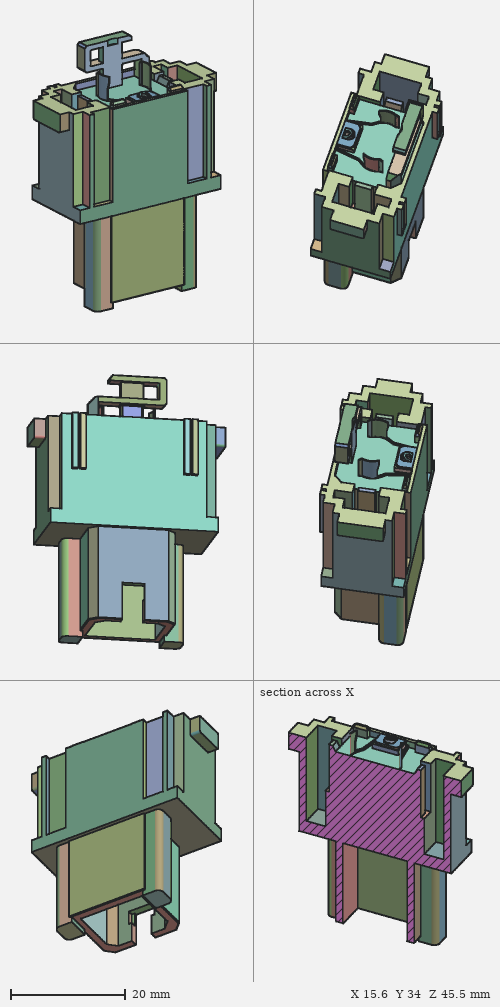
import cadquery as cq

HOUSING_X = 14.7
HOUSING_Y = 30.0
HOUSING_H = 20.0
FLANGE_H = 2.6
CORNER_NOTCH = 2.05
TOP_TAB_REACH = 2.0
TOP_TAB_H = 3.5
TOP_TAB_ROUND = 0.4
FRONT_TAB_X = 8.2
BACK_TAB_X = 6.2
RIB_X = 0.9
RIB_Y = 1.0
RIB_H = 10.0
RIB_INNER_Y = 9.3
RIB_OUTER_Y = 10.7
SIDE_RECESS_X = 1.03
SIDE_RECESS_Y = (8.0, 12.0)

POCKET_Y = (9.77, 13.47)
POCKET_WIDE_X = (-3.8, 3.88)
POCKET_NARROW_X = (-5.85, -3.8)
POCKET_NARROW_END_Y = 11.42
WINDOW_X = (-2.7, 1.96)
WINDOW_FLOOR = 10.0

INSERT_X = (-6.53, 6.62)
INSERT_HALF_Y = 7.77
INSERT_CORNER = 1.5
INSERT_TOP = 18.75
INSERT_BOTTOM = -16.7
INSERT_EDGE = 0.15
INSERT_WALL = 1.5
SLOT_Y = 4.0
SLOT_TOP = -10.0
SLOT_RELIEF_WALL = 0.5
SLOT_RELIEF_Y = 5.24
SLOT_RELIEF_BOTTOM = -12.7
LATCH_X = (-1.87, 1.14)
LATCH_TOP = 19.85
LATCH_Y = (8.3, 9.07)

RAIL_X = (2.05, 6.42)
RAIL_Y = (7.3, 10.9)
RAIL_BOTTOM = -17.8
RAIL_ROUND = 1.05

HOOK_TOP = 27.7
HOOK_X = (INSERT_X[0], -4.2)
HOOK_SHEET = 1.0
HOOK_LOW_BAR_TOP = 23.67
HOOK_BEND_Y = -5.97
HOOK_BEND_SHEET = 1.23
HOOK_TIP_Y = 4.08
HOOK_LEG_Y = 6.2
HOOK_LEG_BEVEL = 1.0
HOOK_BEVEL = 0.42
HOOK_INNER_ROUND = 0.25
HOOK_NOTCH_DEPTH = 0.32
HOOK_NOTCH_HALF_Y = 1.1
POST_X = (-5.65, HOOK_X[1])
POST_Y = 4.0
POST_BEVEL = 0.3
POST_COLLAR = 0.2
POST_COLLAR_BEVEL = 0.15

SPRING_SHEET = 0.2
SPRING_TIP = (-2.57, 4.6)
SPRING_CURVE = [(-1.9, 4.6), (-0.5, 4.87), (1.1, 4.4)]
SPRING_KNEE = (2.17, 3.65)
SPRING_ROOT = (INSERT_X[1], 2.9)
SPRING_ROOT_X = 0.27
SPRING_TOP = 23.3
SPRING_ARM_H = 0.4
BLADE_FOOT_X = 0.79
BLADE_HEAD_X = 1.06
BLADE_NECK_Z = 20.8
BLADE_HEAD_Z = 22.2
BLADE_BEVEL = 0.5
CLIP_X = (5.75, 6.67)
CLIP_Y = (4.7, 7.49)
CLIP_TOP = 20.93
CLIP_BEVEL_H = 0.56
CLIP_BEVEL = 0.3
TERMINAL_X = 3.42
TERMINAL_HALF_Y = 2.55
TERMINAL_TOP = 20.1
TERMINAL_PLATE_H = 0.4
TERMINAL_STEP_X = 0.22
TERMINAL_STEP_Y = 0.1
TERMINAL_ROUND = 0.9
TERMINAL_FLAT_X = 6.1
HOLE_X = 5.16
HOLE_R = 1.05
HOLE_DEPTH = 1.0
LUG_TILT = 22
LUG_HINGE_Z = 20.03
LUG_LENGTH = 1.65
LUG_R = 1.0
LUG_BORE_R = 0.5
LUG_SHEET = 0.6
LUG_ROOT = 0.4

SIDES = (1, -1)


def box(x, y, z):
    """Axis-aligned box given by its (start, end) range along each axis."""
    corner = (min(x), min(y), min(z))
    size = (abs(x[1] - x[0]), abs(y[1] - y[0]), abs(z[1] - z[0]))
    return cq.Workplane("XY").box(*size, centered=False).translate(corner)


def on_side(side, y_range):
    """The Y range moved to the +Y (side = 1) or -Y (side = -1) half."""
    return (side * y_range[0], side * y_range[1])


def insert_column(z_bottom, z_top, inset=0.0):
    """Column of the insert's plan shape: a rectangle with two bevelled -X corners."""
    x = (INSERT_X[0] + inset, INSERT_X[1] - inset)
    half_y = INSERT_HALF_Y - inset
    column = box(x, (-half_y, half_y), (z_bottom, z_top))
    return column.edges("|Z and <X").chamfer(INSERT_CORNER)


def top_tab(side, width):
    y = on_side(side, (HOUSING_Y / 2 - CORNER_NOTCH, HOUSING_Y / 2 + TOP_TAB_REACH))
    tab = box((-width / 2, width / 2), y, (HOUSING_H - TOP_TAB_H, HOUSING_H))
    return tab.edges("|Y and <Z").fillet(TOP_TAB_ROUND)


def make_housing():
    half_x = HOUSING_X / 2
    half_y = HOUSING_Y / 2
    upper = (FLANGE_H, HOUSING_H)
    body = box((-half_x, half_x), (-half_y, half_y), (0, HOUSING_H))
    for side in SIDES:
        notch_y = on_side(side, (half_y - CORNER_NOTCH, half_y))
        body = body.cut(box((-half_x, -half_x + CORNER_NOTCH), notch_y, upper))
        body = body.cut(box((half_x - CORNER_NOTCH, half_x), notch_y, upper))
        body = body.cut(box((half_x - SIDE_RECESS_X, half_x), on_side(side, SIDE_RECESS_Y), upper))
        for rib_y in (RIB_INNER_Y, RIB_OUTER_Y):
            y = on_side(side, (rib_y - RIB_Y / 2, rib_y + RIB_Y / 2))
            body = body.union(box((-half_x - RIB_X, -half_x), y, (HOUSING_H - RIB_H, HOUSING_H)))
    body = body.union(top_tab(1, BACK_TAB_X)).union(top_tab(-1, FRONT_TAB_X))
    body = body.cut(insert_column(INSERT_TOP, HOUSING_H))
    for side in SIDES:
        narrow_y = (POCKET_Y[0], POCKET_NARROW_END_Y)
        window_y = (INSERT_HALF_Y, POCKET_Y[0])
        body = body.cut(box(POCKET_WIDE_X, on_side(side, POCKET_Y), upper))
        body = body.cut(box(POCKET_NARROW_X, on_side(side, narrow_y), upper))
        body = body.cut(box(WINDOW_X, on_side(side, window_y), (WINDOW_FLOOR, HOUSING_H)))
    return body


def make_latch(side):
    """Upright tongue in the window, with a ramp from its flat top to the insert."""
    profile = [
        (side * INSERT_HALF_Y, WINDOW_FLOOR),
        (side * LATCH_Y[1], WINDOW_FLOOR),
        (side * LATCH_Y[1], LATCH_TOP),
        (side * LATCH_Y[0], LATCH_TOP),
        (side * INSERT_HALF_Y, INSERT_TOP),
    ]
    latch = cq.Workplane("YZ").polyline(profile).close().extrude(LATCH_X[1] - LATCH_X[0])
    return latch.translate((LATCH_X[0], 0, 0))


def make_rail(side):
    rail = box(RAIL_X, on_side(side, RAIL_Y), (RAIL_BOTTOM, 0))
    outer_edges = "|Z and >Y" if side > 0 else "|Z and <Y"
    return rail.edges(outer_edges).fillet(RAIL_ROUND)


def make_insert():
    insert = insert_column(INSERT_BOTTOM, INSERT_TOP).faces("<Z").edges().chamfer(INSERT_EDGE)
    for side in SIDES:
        insert = insert.union(make_latch(side)).union(make_rail(side))
    insert = insert.cut(insert_column(RAIL_BOTTOM, 0, INSERT_WALL))
    wall_x = (INSERT_X[0], INSERT_X[0] + INSERT_WALL)
    relief_x = (INSERT_X[0] + SLOT_RELIEF_WALL, wall_x[1])
    relief_y = (-SLOT_RELIEF_Y / 2, SLOT_RELIEF_Y / 2)
    insert = insert.cut(box(wall_x, (-SLOT_Y / 2, SLOT_Y / 2), (INSERT_BOTTOM, SLOT_TOP)))
    return insert.cut(box(relief_x, relief_y, (SLOT_RELIEF_BOTTOM, SLOT_TOP)))


def make_hook():
    """Sheet strip: a leg rising from the insert, a lower bar, a bend and an upper bar."""
    low_bar = (HOOK_LOW_BAR_TOP - HOOK_SHEET, HOOK_LOW_BAR_TOP)
    top_bar = (HOOK_TOP - HOOK_SHEET, HOOK_TOP)
    bend_inner_y = HOOK_BEND_Y + HOOK_BEND_SHEET

    loop = box(HOOK_X, (HOOK_BEND_Y, HOOK_TIP_Y), (low_bar[0], HOOK_TOP))
    loop = loop.edges("|X and <Y").chamfer(HOOK_BEVEL)
    loop = loop.edges("|X and >Y and >Z").chamfer(HOOK_BEVEL)
    gap = box(HOOK_X, (bend_inner_y, INSERT_HALF_Y), (low_bar[1], top_bar[0]))
    loop = loop.cut(gap.edges("|X and <Y").fillet(HOOK_INNER_ROUND))

    leg = box(HOOK_X, (bend_inner_y, INSERT_HALF_Y), (INSERT_TOP, low_bar[1]))
    leg = leg.edges("|X and >Y and >Z").chamfer(HOOK_LEG_BEVEL)
    leg = leg.cut(box(HOOK_X, (bend_inner_y, HOOK_LEG_Y), (INSERT_TOP, low_bar[0])))
    leg = leg.intersect(insert_column(INSERT_TOP, HOOK_TOP))

    notch_r = (HOOK_NOTCH_HALF_Y ** 2 + HOOK_NOTCH_DEPTH ** 2) / (2 * HOOK_NOTCH_DEPTH)
    notch_x = HOOK_X[1] - HOOK_NOTCH_DEPTH + notch_r
    notch = cq.Workplane("XY", origin=(notch_x, 0, top_bar[0])).circle(notch_r).extrude(HOOK_SHEET)

    post_y = (-POST_Y / 2, POST_Y / 2)
    low_post = box(POST_X, post_y, (INSERT_TOP, low_bar[0])).edges("|Z and <X").chamfer(POST_BEVEL)
    collar_y = (post_y[0] - POST_COLLAR, post_y[1] + POST_COLLAR)
    collar_z = (low_bar[0] - POST_COLLAR, low_bar[0])
    collar = box((POST_X[0] - POST_COLLAR, POST_X[1]), collar_y, collar_z)
    collar = collar.faces("<Z").edges("<X or <Y or >Y").chamfer(POST_COLLAR_BEVEL)
    high_post = box(POST_X, post_y, (low_bar[1], top_bar[0]))
    return loop.cut(notch).union(leg).union(low_post).union(collar).union(high_post)


def make_spring():
    """Contact spring on the +Y side: a tall curved blade with a low arm to the wall."""
    half = SPRING_SHEET / 2
    start, crown, end = SPRING_CURVE

    def outer(point):
        return (point[0], point[1] + half)

    def inner(point):
        return (point[0], point[1] - half)

    strip = (
        cq.Workplane("XY", origin=(0, 0, INSERT_TOP))
        .moveTo(*outer(SPRING_TIP))
        .lineTo(*outer(start))
        .threePointArc(outer(crown), outer(end))
        .lineTo(*outer(SPRING_KNEE))
        .lineTo(*outer(SPRING_ROOT))
        .lineTo(*inner(SPRING_ROOT))
        .lineTo(*inner(SPRING_KNEE))
        .lineTo(*inner(end))
        .threePointArc(inner(crown), inner(start))
        .lineTo(*inner(SPRING_TIP))
        .close()
        .extrude(SPRING_TOP - INSERT_TOP)
    )
    tip_x = SPRING_TIP[0]
    arm_top = INSERT_TOP + SPRING_ARM_H
    side_profile = [
        (tip_x, INSERT_TOP),
        (SPRING_ROOT[0], INSERT_TOP),
        (SPRING_ROOT[0], arm_top),
        (BLADE_FOOT_X, arm_top),
        (BLADE_FOOT_X, BLADE_NECK_Z),
        (BLADE_HEAD_X, BLADE_HEAD_Z),
        (BLADE_HEAD_X, SPRING_TOP),
        (tip_x + BLADE_BEVEL, SPRING_TOP),
        (tip_x, SPRING_TOP - BLADE_BEVEL),
    ]
    silhouette = cq.Workplane("XZ").polyline(side_profile).close().extrude(-INSERT_HALF_Y)
    root_x = (INSERT_X[1] - SPRING_ROOT_X, INSERT_X[1])
    root = box(root_x, (TERMINAL_HALF_Y, SPRING_ROOT[1]), (INSERT_TOP, arm_top))
    return strip.intersect(silhouette).union(root)


def make_clip(side):
    """Upright catch on the +X chamber wall with a tapered top."""
    size_x = CLIP_X[1] - CLIP_X[0]
    size_y = CLIP_Y[1] - CLIP_Y[0]
    shoulder = CLIP_TOP - CLIP_BEVEL_H
    center = ((CLIP_X[0] + CLIP_X[1]) / 2, side * (CLIP_Y[0] + CLIP_Y[1]) / 2)
    head = (
        cq.Workplane("XY", origin=(*center, shoulder))
        .rect(size_x, size_y)
        .workplane(offset=CLIP_BEVEL_H)
        .rect(size_x - 2 * CLIP_BEVEL, size_y - 2 * CLIP_BEVEL)
        .loft()
    )
    return head.union(box(CLIP_X, on_side(side, CLIP_Y), (INSERT_TOP, shoulder)))


def d_plug(center_x, flat_x, radius, bottom, top):
    """Upright D-shaped plug: round towards -X, straight up to the flat on +X."""
    plug = cq.Workplane("XY", origin=(center_x, 0, bottom)).circle(radius).extrude(top - bottom)
    plug = plug.union(box((center_x, flat_x), (-radius, radius), (bottom, top)))
    return plug.intersect(box((center_x - radius, flat_x), (-radius, radius), (bottom, top)))


def make_lug():
    """D-shaped lug with a D-shaped bore, rising towards -X from the flat of the hole."""
    center_x = LUG_R - LUG_LENGTH
    lug = d_plug(center_x, LUG_ROOT, LUG_R, -LUG_SHEET, 0)
    lug = lug.cut(d_plug(center_x, 0, LUG_BORE_R, -LUG_SHEET, 0))
    return lug.rotate((0, 0, 0), (0, 1, 0), LUG_TILT).translate((TERMINAL_FLAT_X, 0, LUG_HINGE_Z))


def make_terminal():
    """Terminal: rounded plate on a block, with a tilted lug in its hole."""
    plate_bottom = TERMINAL_TOP - TERMINAL_PLATE_H
    plate_y = TERMINAL_HALF_Y - TERMINAL_STEP_Y
    plate_x = (TERMINAL_X + TERMINAL_STEP_X, INSERT_X[1])
    plate = box(plate_x, (-plate_y, plate_y), (plate_bottom, TERMINAL_TOP))
    plate = plate.edges("|Z and <X").fillet(TERMINAL_ROUND)
    block_x = (TERMINAL_X, INSERT_X[1])
    block = box(block_x, (-TERMINAL_HALF_Y, TERMINAL_HALF_Y), (INSERT_TOP, plate_bottom))
    hole = d_plug(HOLE_X, TERMINAL_FLAT_X, HOLE_R, TERMINAL_TOP - HOLE_DEPTH, TERMINAL_TOP)
    return plate.union(block).cut(hole).union(make_lug())


spring = make_spring()
result = make_housing().union(make_insert()).union(make_hook()).union(make_terminal())
result = result.union(spring).union(spring.mirror("XZ"))
for clip_side in SIDES:
    result = result.union(make_clip(clip_side))